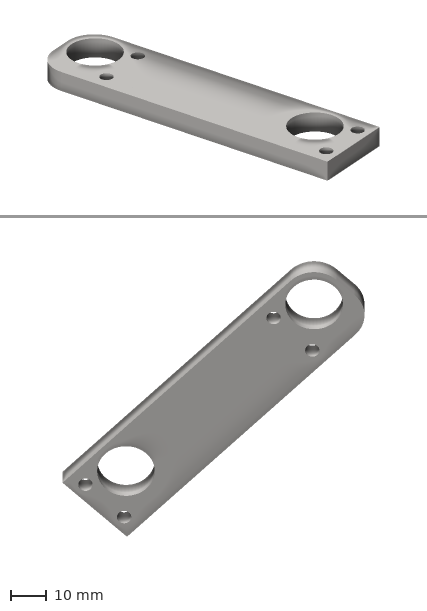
import cadquery as cq

length = 100.0
width = 25.0
thickness = 6.0
corner_radius = 9.0

bore_diameter = 16.0
pin_diameter = 4.0
bore_x = 10.0
bore_y = 15.0
pin_offset = 11.0
pin_edge_distance = 5.0
pattern_pitch = 75.0

pattern_starts = [bore_x, bore_x + pattern_pitch]
bore_centers = [(x, bore_y) for x in pattern_starts]
pin_centers = [
    (x + pin_offset, y)
    for x in pattern_starts
    for y in (pin_edge_distance, width - pin_edge_distance)
]


def make_plate():
    """Flat bar with its lower corner at the origin and its -X end rounded."""
    bar = cq.Workplane("XY").box(length, width, thickness, centered=False)
    return bar.edges("|Z and <X").fillet(corner_radius)


def make_holes(centers, diameter):
    """Cylinders that pass through the full plate thickness."""
    return cq.Workplane("XY").pushPoints(centers).circle(diameter / 2).extrude(thickness)


result = (
    make_plate()
    .cut(make_holes(bore_centers, bore_diameter))
    .cut(make_holes(pin_centers, pin_diameter))
)